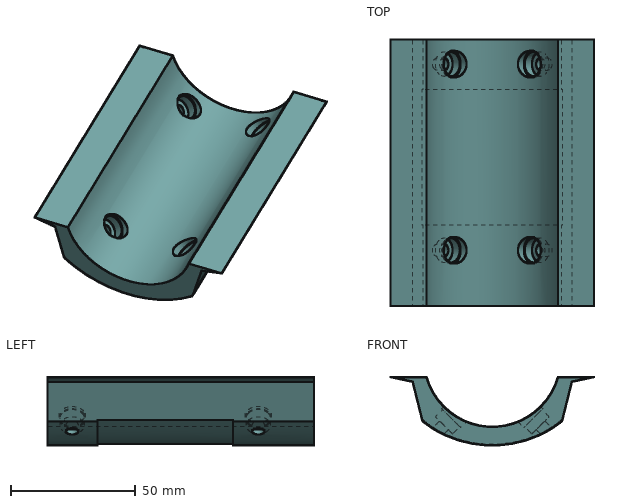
import cadquery as cq
import math

length = 107.5
total_width = 82.0
total_height = 27.58

bore_radius = 27.5
bore_depth = 20.0

flange_root_half_width = 32.1
flange_root_depth = 1.9
wall_foot_half_width = 28.25
wall_foot_depth = 17.3

pad_foot_half_width = 27.85
pad_foot_depth = 17.95
relief_depth = 0.5
pad_half_length = 10.25

hole_end_distance = 10.0
hole_spacing = 75.0
hole_tilt = 45.0
hole_diameter = 5.0
counterbore_diameter = 9.8
counterbore_floor_distance = 27.5
mouth_diameter = 10.8
mouth_ledge_distance = 23.4

relief_bottom = -total_height + relief_depth
bore_axis_height = bore_radius - bore_depth
bore_half_width = math.sqrt(bore_radius**2 - bore_axis_height**2)
hole_positions = [length / 2 - hole_end_distance, length / 2 - hole_end_distance - hole_spacing]
relief_end = hole_positions[0] - pad_half_length
relief_start = hole_positions[1] + pad_half_length


def extrude_along_y(profile, start, end):
    """Extrude a closed XZ profile between two Y positions."""
    return profile.extrude(start - end).translate((0, start, 0))


def cradle_body():
    """Trough with sharp-edged flanges, sloped walls bevelled at the foot, and a curved underside."""
    profile = (
        cq.Workplane("XZ")
        .moveTo(-total_width / 2, 0)
        .lineTo(-flange_root_half_width, -flange_root_depth)
        .lineTo(-wall_foot_half_width, -wall_foot_depth)
        .lineTo(-pad_foot_half_width, -pad_foot_depth)
        .threePointArc((0, -total_height), (pad_foot_half_width, -pad_foot_depth))
        .lineTo(wall_foot_half_width, -wall_foot_depth)
        .lineTo(flange_root_half_width, -flange_root_depth)
        .lineTo(total_width / 2, 0)
        .lineTo(bore_half_width, 0)
        .threePointArc((0, -bore_depth), (-bore_half_width, 0))
        .close()
    )
    return extrude_along_y(profile, -length / 2, length / 2)


def underside_relief():
    """Thin crescent that leaves a pad under each pair of holes."""
    profile = (
        cq.Workplane("XZ")
        .moveTo(-wall_foot_half_width, -wall_foot_depth)
        .lineTo(-pad_foot_half_width, -pad_foot_depth)
        .threePointArc((0, -total_height), (pad_foot_half_width, -pad_foot_depth))
        .lineTo(wall_foot_half_width, -wall_foot_depth)
        .threePointArc((0, relief_bottom), (-wall_foot_half_width, -wall_foot_depth))
        .close()
    )
    return extrude_along_y(profile, relief_start, relief_end)


def tilted_hole(side, y):
    """Stepped, counterbored screw hole running down and outward from the middle of the top plane."""
    angle = math.radians(hole_tilt)
    axis = cq.Vector(side * math.sin(angle), 0, -math.cos(angle))
    start = cq.Vector(0, y, 0)
    mouth = cq.Solid.makeCylinder(mouth_diameter / 2, mouth_ledge_distance, start, axis)
    counterbore = cq.Solid.makeCylinder(counterbore_diameter / 2, counterbore_floor_distance, start, axis)
    through = cq.Solid.makeCylinder(hole_diameter / 2, 2 * total_height, start, axis)
    return mouth.fuse(counterbore, through)


result = cradle_body().cut(underside_relief())
for hole_y in hole_positions:
    for hole_side in (-1, 1):
        result = result.cut(cq.Workplane(tilted_hole(hole_side, hole_y)))